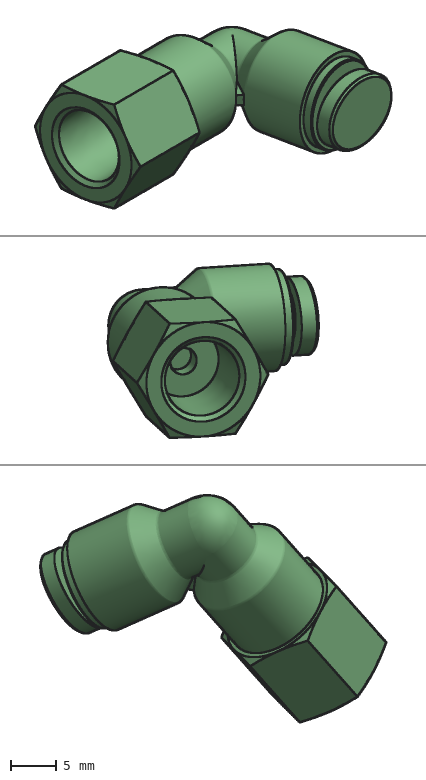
import cadquery as cq
import math


neck_radius = 4.0
arm_radius = 5.95
shoulder_start = neck_radius
shoulder_end = 6.57
shoulder_fillet = 0.47
arm_length = 14.5
web_thickness = 1.25
web_setback = 0.1

nut_length = 11.0
nut_flats = 13.0
nut_corner_drop = 0.35
bore_mouth_diameter = 9.6
bore_top_diameter = 8.5
bore_floor_diameter = 8.0
bore_taper = 1 / 16
passage_diameter = 3.0

ring_diameter = 10.6
ring_length = 1.15
ring_chamfer = 0.13

button_neck_diameter = 5.5
button_gap = 0.85
head_width = 10.82
head_height = 8.6
head_length = 2.0
head_chamfer = 0.28

nut_corners = nut_flats / math.cos(math.pi / 6)
mouth_chamfer = (bore_mouth_diameter - bore_top_diameter) / 2
taper_length = (bore_top_diameter - bore_floor_diameter) / bore_taper
ring_end = arm_length + ring_length
head_start = ring_end + button_gap
nut_end = arm_length + nut_length


def along_x(start):
    """Workplane across the +X arm; its local x is Y and its local y is Z."""
    return cq.Workplane("YZ", origin=(start, 0, 0))


def along_minus_y(start):
    """Workplane across the -Y arm, facing away from the elbow corner."""
    return cq.Workplane("XZ", origin=(0, -start, 0))


def make_arm():
    """Stepped arm along +X: slim neck, conical shoulder and full-size socket."""
    profile = [
        (0, 0),
        (0, neck_radius),
        (shoulder_start, neck_radius),
        (shoulder_end, arm_radius),
        (arm_length, arm_radius),
        (arm_length, 0),
    ]
    arm = cq.Workplane("XY").polyline(profile).close().revolve(360, (0, 0, 0), (1, 0, 0))
    shoulder_box = cq.selectors.BoxSelector(
        (shoulder_start - shoulder_fillet, -arm_length, -arm_length),
        (shoulder_end + shoulder_fillet, arm_length, arm_length),
        boundingbox=True,
    )
    return arm.edges(shoulder_box).edges("%CIRCLE").fillet(shoulder_fillet)


def make_web():
    """Flat web that fills the wedge between the two shoulders."""
    web_far = shoulder_end - web_setback
    web_near = arm_radius - web_setback
    outline = [
        (0, 0),
        (web_far, -web_near),
        (web_near, -web_far),
    ]
    return cq.Workplane("XY").polyline(outline).close().extrude(web_thickness / 2, both=True)


def make_elbow():
    """Two equal arms at a right angle, a ball at their outer corner and the web."""
    arm = make_arm()
    nut_arm = arm.rotate((0, 0, 0), (0, 0, 1), -90)
    ball = cq.Workplane("XY").sphere(neck_radius)
    return arm.union(nut_arm).union(ball).union(make_web())


def make_nut():
    """Hex nut with chamfered corners, a tapered bore and a passage in its floor."""
    hexagon = along_minus_y(arm_length).polygon(6, nut_corners).extrude(nut_length)

    flat_radius = nut_flats / 2
    corner_radius = nut_corners / 2
    envelope_profile = [
        (0, -arm_length),
        (flat_radius, -arm_length),
        (corner_radius, -arm_length - nut_corner_drop),
        (corner_radius, -nut_end + nut_corner_drop),
        (flat_radius, -nut_end),
        (0, -nut_end),
    ]
    envelope = cq.Workplane("XY").polyline(envelope_profile).close().revolve(360, (0, 0, 0), (0, 1, 0))

    taper_start = -nut_end + mouth_chamfer
    bore_floor = taper_start + taper_length
    bore_profile = [
        (0, -nut_end),
        (bore_mouth_diameter / 2, -nut_end),
        (bore_top_diameter / 2, taper_start),
        (bore_floor_diameter / 2, bore_floor),
        (passage_diameter / 2, bore_floor),
        (passage_diameter / 2, -arm_length),
        (0, -arm_length),
    ]
    bore = cq.Workplane("XY").polyline(bore_profile).close().revolve(360, (0, 0, 0), (0, 1, 0))
    return hexagon.intersect(envelope).cut(bore)


def make_ring():
    """Guide ring on the end of the +X arm, bored for the button's neck."""
    disc = along_x(arm_length).circle(ring_diameter / 2).extrude(ring_length)
    disc = disc.faces(">X").edges().chamfer(ring_chamfer)
    hole = along_x(arm_length).circle(button_neck_diameter / 2).extrude(ring_length)
    return disc.cut(hole)


def make_button():
    """Release button: a round neck through the ring and an oval head."""
    neck = along_x(arm_length).circle(button_neck_diameter / 2).extrude(head_start - arm_length)
    head = along_x(head_start).ellipse(head_width / 2, head_height / 2).extrude(head_length)
    head = head.faces(">X").edges().chamfer(head_chamfer)
    return neck.union(head)


elbow = make_elbow()
nut = make_nut()
ring = make_ring()
button = make_button()

result = cq.Compound.makeCompound([elbow.val(), nut.val(), ring.val(), button.val()])